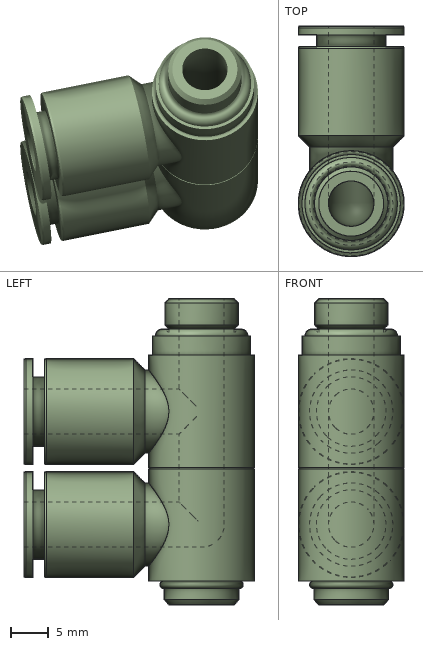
import cadquery as cq

height = 40.5
body_d = 14.0
port_reach = 30.5 - body_d / 2

body_bottom = 3.15
body_top = 33.05
body_middle = (body_bottom + body_top) / 2
port_pitch = (body_top - body_bottom) / 2
port_heights = [body_middle - port_pitch / 2, body_middle + port_pitch / 2]
joint_width = 0.2
joint_depth = 0.12

collar_d = 13.0
collar_top = 35.6
thread_d = 9.7
thread_end_d = 8.6
thread_chamfer = (thread_d - thread_end_d) / 2
thread_bottom = 37.05
top_seal_outer_d = 12.25

plug_d = 9.9
plug_tip_d = 8.6
plug_chamfer_height = 0.73
bottom_seal_outer_d = 11.0
bottom_seal_tube_d = 0.97

port_neck_d = 11.0
port_cone_start = 7.5
port_cone_end = port_cone_start + (body_d - port_neck_d) / 2
port_body_end = 20.78
release_neck_d = 9.2
flange_start = 22.3
port_edge_axial = 0.25
port_edge_radial = 0.1

bore_d = 6.0


def stem():
    """Turned profile of the plug, bodies, collar and threaded end."""
    body_r = body_d / 2
    joint_r = body_r - joint_depth
    joint_bottom = body_middle - joint_width / 2
    joint_top = body_middle + joint_width / 2
    neck_r = thread_end_d / 2
    profile = [
        (0, 0),
        (plug_tip_d / 2, 0),
        (plug_d / 2, plug_chamfer_height),
        (plug_d / 2, body_bottom),
        (body_r, body_bottom),
        (body_r, joint_bottom),
        (joint_r, joint_bottom),
        (joint_r, joint_top),
        (body_r, joint_top),
        (body_r, body_top),
        (collar_d / 2, body_top),
        (collar_d / 2, collar_top),
        (neck_r, collar_top),
        (neck_r, thread_bottom - thread_chamfer),
        (thread_d / 2, thread_bottom),
        (thread_d / 2, height - thread_chamfer),
        (thread_end_d / 2, height),
        (0, height),
    ]
    return cq.Workplane("XZ").polyline(profile).close().revolve(360, (0, 0), (0, 1))


def seal_ring(outer_d, tube_d, center_z):
    """O-ring around the stem axis."""
    ring_r = (outer_d - tube_d) / 2
    section = cq.Workplane("XZ").center(ring_r, center_z).circle(tube_d / 2)
    return section.revolve(360, (-ring_r, 0), (-ring_r, 1))


def port(center_z):
    """Turned tube port with its cone, body and flanged release sleeve."""
    outer_r = body_d / 2
    edge_r = outer_r - port_edge_radial
    sleeve_r = release_neck_d / 2
    profile = [
        (0, 0),
        (port_neck_d / 2, 0),
        (port_neck_d / 2, port_cone_start),
        (outer_r, port_cone_end),
        (outer_r, port_body_end - port_edge_axial),
        (edge_r, port_body_end),
        (sleeve_r, port_body_end),
        (sleeve_r, flange_start),
        (outer_r, flange_start),
        (outer_r, port_reach - port_edge_axial),
        (edge_r, port_reach),
        (0, port_reach),
    ]
    plane = cq.Workplane("XY", origin=(0, 0, center_z))
    return plane.polyline(profile).close().revolve(360, (0, 0), (0, 1))


def flow_passage():
    """Bore down to the lower port, round-bottomed, with a branch out of each port."""
    floor_z = port_heights[0]
    bore_r = bore_d / 2
    passage = cq.Workplane("XY", origin=(0, 0, floor_z)).circle(bore_r).extrude(height - floor_z)
    passage = passage.union(cq.Workplane("XY", origin=(0, 0, floor_z)).sphere(bore_r))
    for center_z in port_heights:
        branch = cq.Workplane("XZ", origin=(0, 0, center_z)).circle(bore_r).extrude(-port_reach)
        passage = passage.union(branch)
    return passage


top_seal_tube_d = (top_seal_outer_d - thread_end_d) / 2
top_seal_z = thread_bottom - thread_chamfer - top_seal_tube_d / 2
bottom_seal_z = body_bottom - bottom_seal_tube_d / 2

result = stem()
result = result.union(seal_ring(top_seal_outer_d, top_seal_tube_d, top_seal_z))
result = result.union(seal_ring(bottom_seal_outer_d, bottom_seal_tube_d, bottom_seal_z))
for port_z in port_heights:
    result = result.union(port(port_z))
result = result.cut(flow_passage())